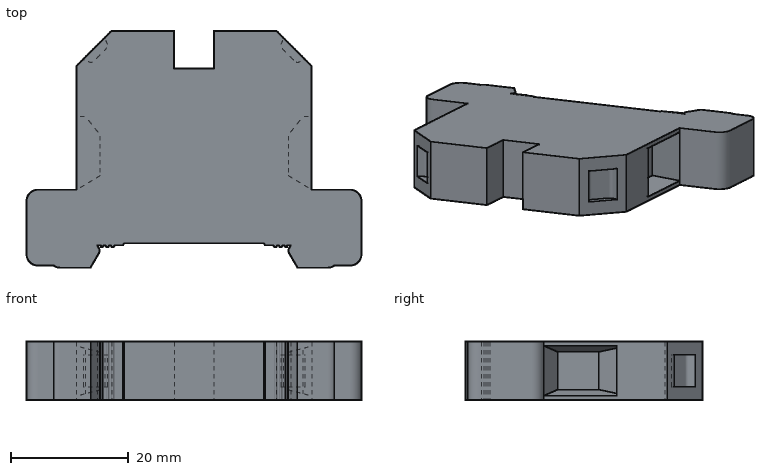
import cadquery as cq
import math

length = 57.0
height = 40.3
thickness = 10.0
mid_z = thickness / 2

body_half = 20.0
body_chamfer = 6.0
top_slot_half = 3.4
top_slot_depth = 6.4

flange_half = length / 2
flange_top = 13.3
flange_bottom = 0.35
flange_radius = 2.0
foot_outer = 22.8
foot_step_length = 1.04

slant_angle = math.radians(60)
lip_x = 16.03
lip_bottom = 2.7
lip_top = 3.1
recess_ceiling = 4.15
ledge_y = 3.8
ledge_inner = 11.87
ledge_step = recess_ceiling - ledge_y

tooth_count = 2
tooth_height = 0.35
tooth_pitch = 0.87
tooth_half_width = tooth_pitch / 4
tooth_mid_y = ledge_y - tooth_height / 2
tooth_tip_y = ledge_y - tooth_height
teeth_inner = 13.63
land_inner = 15.5
land_outer = 15.85

funnel_top = 25.75
funnel_bottom = flange_top
funnel_floor_top = 22.65
funnel_floor_bottom = 15.7
funnel_depth = 4.0
funnel_straight_depth = 1.5
funnel_mouth_width = 8.5
funnel_floor_width = 6.4

pocket_length = 5.15
pocket_width = 5.4
pocket_depth = 1.44
pocket_draft = math.radians(22)
pocket_radius = 0.63
pocket_edge_gap = 1.7


def slant_run(rise):
    """Horizontal run of a slanted wall over the given rise."""
    return rise / math.tan(slant_angle)


def add_teeth(outline):
    """Continue the outline outwards (-X) along the teeth, from the ledge to the end of the land."""
    valley_sagitta = ledge_y - tooth_mid_y
    radius = (tooth_half_width**2 + valley_sagitta**2) / (2 * valley_sagitta)
    half_angle = math.asin(tooth_half_width / radius) / 2
    entry = (
        -teeth_inner + tooth_half_width - radius * math.sin(half_angle),
        ledge_y - radius * (1 - math.cos(half_angle)),
    )
    outline = outline.lineTo(-teeth_inner + tooth_half_width, ledge_y)
    outline = outline.threePointArc(entry, (-teeth_inner, tooth_mid_y))
    for tooth in range(tooth_count):
        start = -teeth_inner - tooth * tooth_pitch
        tip = (start - tooth_half_width, tooth_tip_y)
        tooth_end = start - 2 * tooth_half_width
        outline = outline.threePointArc(tip, (tooth_end, tooth_mid_y))
        is_last = tooth == tooth_count - 1
        valley_end = (-land_inner, tooth_tip_y) if is_last else (start - tooth_pitch, tooth_mid_y)
        valley_x = (tooth_end + valley_end[0]) / 2
        outline = outline.threePointArc((valley_x, ledge_y), valley_end)
    outline = outline.lineTo(-land_outer, tooth_tip_y)
    return outline


def half_body():
    """Plate for the -X half, from the symmetry plane outwards."""
    slot_floor = height - top_slot_depth

    step_radius = (foot_step_length**2 + flange_bottom**2) / (2 * flange_bottom)
    step_half_angle = math.asin(foot_step_length / step_radius) / 2
    step_mid = (
        -foot_outer - step_radius * math.sin(step_half_angle),
        step_radius * (1 - math.cos(step_half_angle)),
    )

    outline = (
        cq.Workplane("XY")
        .moveTo(0, recess_ceiling)
        .lineTo(-ledge_inner, recess_ceiling)
        .lineTo(-ledge_inner - slant_run(ledge_step), ledge_y)
    )
    outline = (
        add_teeth(outline)
        .lineTo(-land_outer, ledge_y)
        .lineTo(-lip_x - slant_run(ledge_y - lip_top), ledge_y)
        .lineTo(-lip_x, lip_top)
        .lineTo(-lip_x, lip_bottom)
        .lineTo(-lip_x - slant_run(lip_bottom), 0)
        .lineTo(-foot_outer, 0)
        .threePointArc(step_mid, (-foot_outer - foot_step_length, flange_bottom))
        .lineTo(-flange_half, flange_bottom)
        .lineTo(-flange_half, flange_top)
        .lineTo(-body_half, flange_top)
        .lineTo(-body_half, height - body_chamfer)
        .lineTo(-body_half + body_chamfer, height)
        .lineTo(-top_slot_half, height)
        .lineTo(-top_slot_half, slot_floor)
        .lineTo(0, slot_floor)
        .close()
    )
    plate = outline.extrude(thickness)
    flange_face_x = -flange_half
    corner_edges = cq.selectors.BoxSelector(
        (flange_face_x - flange_radius / 2, 0, 0),
        (flange_face_x + flange_radius / 2, flange_top + flange_radius, thickness),
    )
    return plate.edges("|Z").edges(corner_edges).fillet(flange_radius)


def wire_funnel():
    """Tapered wire entry: its Y profile crossed with its Z taper."""
    floor_x = -body_half + funnel_depth
    y_profile = (
        cq.Workplane("XY")
        .moveTo(-body_half, funnel_top)
        .lineTo(-body_half + funnel_straight_depth, funnel_top)
        .lineTo(floor_x, funnel_floor_top)
        .lineTo(floor_x, funnel_floor_bottom)
        .lineTo(-body_half, funnel_bottom)
        .close()
        .extrude(thickness)
    )
    z_taper = (
        cq.Workplane("XZ")
        .moveTo(-body_half, mid_z - funnel_mouth_width / 2)
        .lineTo(floor_x, mid_z - funnel_floor_width / 2)
        .lineTo(floor_x, mid_z + funnel_floor_width / 2)
        .lineTo(-body_half, mid_z + funnel_mouth_width / 2)
        .close()
        .extrude(-height)
    )
    return y_profile.intersect(z_taper)


def chamfer_pocket():
    """Pocket normal to the chamfer, with drafted ends and its two floor edges along Z rounded."""
    section_plane = cq.Plane(
        origin=(-body_half + body_chamfer, height, mid_z - pocket_width / 2),
        xDir=(-1, -1, 0),
        normal=(0, 0, -1),
    )
    pocket_end = pocket_edge_gap + pocket_length
    draft_run = pocket_depth * math.tan(pocket_draft)
    return (
        cq.Workplane(section_plane)
        .moveTo(pocket_edge_gap, 0)
        .lineTo(pocket_edge_gap + draft_run, -pocket_depth)
        .lineTo(pocket_end - draft_run, -pocket_depth)
        .lineTo(pocket_end, 0)
        .close()
        .extrude(-pocket_width)
        .faces("<(-1, 1, 0)")
        .edges("|Z")
        .fillet(pocket_radius)
    )


left_half = half_body().cut(wire_funnel()).cut(chamfer_pocket())
result = left_half.union(left_half.mirror("YZ")).clean()